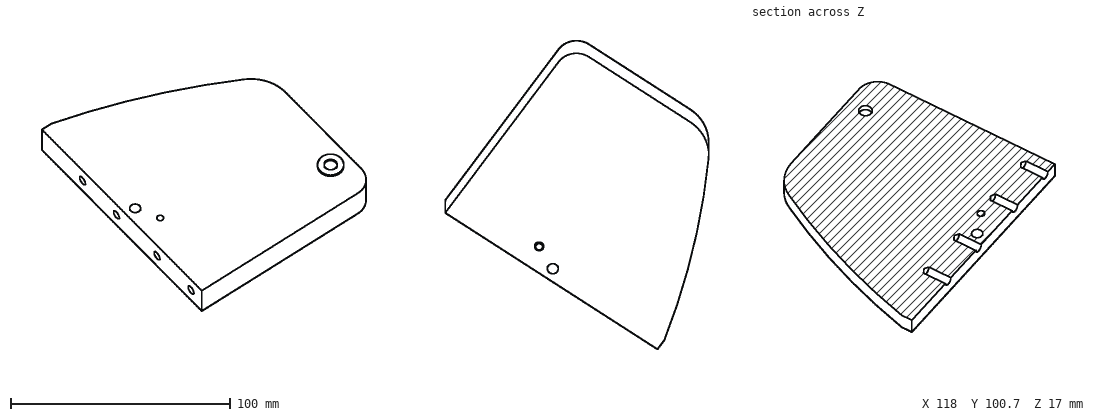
import cadquery as cq
import math

WIDTH = 118.0
DEPTH = 100.7
THICKNESS = 15.3
LEFT_SIDE_START_Y = 5.5
ARC_MID = (14.8, 49.7)
ARC_END_X = 40.4
LEFT_CORNER_RADIUS = 20.1
RIGHT_CORNER_RADIUS = 10.0

DRILL_POINT_ANGLE = 118.0
FRONT_HOLE_XS = (30.0, 55.0, 85.0, 110.0)
FRONT_HOLE_DIAMETER = 4.2
FRONT_HOLE_DEPTH = 12.0

THROUGH_HOLE_CENTER = (62.0, 5.4)
THROUGH_HOLE_DIAMETER = 5.0

RING_CENTER = (WIDTH - 20.1, DEPTH - RIGHT_CORNER_RADIUS)
RING_OUTER_DIAMETER = 12.0
RING_BORE_DIAMETER = 6.0
RING_HEIGHT = 1.0
RING_HOLE_DEPTH = 10.0

PIN_CENTER = (73.4, 11.0)
PIN_STEM_DIAMETER = 3.1
PIN_HEAD_DIAMETER = 4.1
PIN_HEAD_HEIGHT = 0.7
PIN_HEAD_CHAMFER = 0.5


def drill_tool(diameter, depth):
    """Cutter pointing down -Z from the origin; depth is that of the cylindrical part."""
    radius = diameter / 2
    point_length = radius / math.tan(math.radians(DRILL_POINT_ANGLE / 2))
    return (
        cq.Workplane("XZ")
        .lineTo(radius, 0)
        .lineTo(radius, -depth)
        .lineTo(0, -depth - point_length)
        .close()
        .revolve(360, (0, 0, 0), (0, 1, 0))
    )


def make_plate_blank():
    blank = (
        cq.Workplane("XY")
        .lineTo(WIDTH, 0)
        .lineTo(WIDTH, DEPTH)
        .lineTo(ARC_END_X, DEPTH)
        .threePointArc(ARC_MID, (0, LEFT_SIDE_START_Y))
        .close()
        .extrude(THICKNESS)
    )
    middle_z = THICKNESS / 2
    left_corner = cq.selectors.NearestToPointSelector((ARC_END_X, DEPTH, middle_z))
    right_corner = cq.selectors.NearestToPointSelector((WIDTH, DEPTH, middle_z))
    blank = blank.edges("|Z").edges(left_corner).fillet(LEFT_CORNER_RADIUS)
    return blank.edges("|Z").edges(right_corner).fillet(RIGHT_CORNER_RADIUS)


def make_plate(pin):
    plate = make_plate_blank()

    front_drill = drill_tool(FRONT_HOLE_DIAMETER, FRONT_HOLE_DEPTH).rotate((0, 0, 0), (1, 0, 0), 90)
    for hole_x in FRONT_HOLE_XS:
        plate = plate.cut(front_drill.translate((hole_x, 0, THICKNESS / 2)))

    ring_drill = drill_tool(RING_BORE_DIAMETER, RING_HOLE_DEPTH)
    plate = plate.cut(ring_drill.translate((*RING_CENTER, THICKNESS)))

    through_hole = (
        cq.Workplane("XY")
        .center(*THROUGH_HOLE_CENTER)
        .circle(THROUGH_HOLE_DIAMETER / 2)
        .extrude(THICKNESS)
    )
    plate = plate.cut(through_hole)

    return plate.cut(pin)


def make_ring():
    return (
        cq.Workplane("XY", origin=(*RING_CENTER, THICKNESS))
        .circle(RING_OUTER_DIAMETER / 2)
        .circle(RING_BORE_DIAMETER / 2)
        .extrude(RING_HEIGHT)
    )


def make_pin():
    stem = (
        cq.Workplane("XY", origin=(*PIN_CENTER, 0))
        .circle(PIN_STEM_DIAMETER / 2)
        .extrude(THICKNESS)
    )
    head = (
        cq.Workplane("XY", origin=(*PIN_CENTER, -PIN_HEAD_HEIGHT))
        .circle(PIN_HEAD_DIAMETER / 2)
        .extrude(PIN_HEAD_HEIGHT)
        .faces("<Z")
        .chamfer(PIN_HEAD_CHAMFER)
    )
    return stem.union(head)


pin = make_pin()
plate = make_plate(pin)
ring = make_ring()

result = cq.Compound.makeCompound([plate.val(), ring.val(), pin.val()])